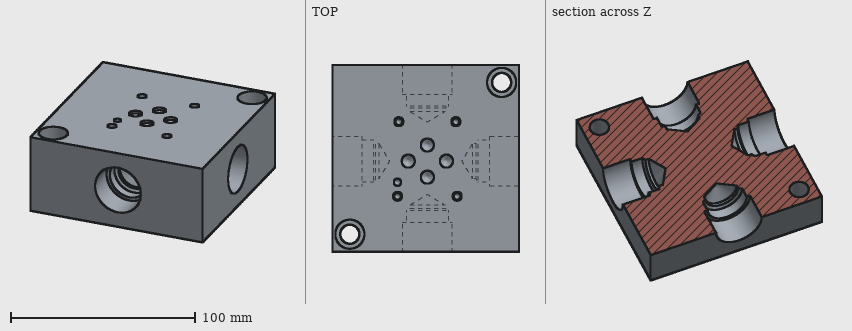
import cadquery as cq
import math

SIDE = 101.6
HEIGHT = 44.5
TOP = HEIGHT / 2

POINT_ANGLE = 118.0
POINT_SLOPE = 1 / math.tan(math.radians(POINT_ANGLE / 2))

MOUNT_OFFSET = 41.2
MOUNT_DIAMETER = 10.3
MOUNT_BORE_DIAMETER = 15.8
MOUNT_BORE_DEPTH = 11.3

PATTERN_X = -14.6
PATTERN_Y = 19.9
BACK_BOLT_PITCH = 31.0
FRONT_BOLT_PITCH = 32.4
FRONT_BOLT_DROP = 40.5
FRONT_BOLT_SHIFT = (FRONT_BOLT_PITCH - BACK_BOLT_PITCH) / 2
PIN_DROP = 32.9
VALVE_X = PATTERN_X + BACK_BOLT_PITCH / 2
VALVE_Y = -1.5

BOLT_DIAMETER = 4.9
BOLT_CORE_DIAMETER = 3.8
BOLT_THREAD_DEPTH = 12.2
BOLT_CORE_DEPTH = 15.2

PIN_DIAMETER = 4.0
PIN_DEPTH = 5.1

FLOW_DIAMETER = 7.1
FLOW_DEPTH = 1.6
FLOW_SIDE_REACH = 10.4
FLOW_END_REACH = 8.7

PORT_DIAMETER = 26.9
PORT_DEPTH = 16.1
SEAT_DIAMETER = 23.0
SEAT_DEPTH = 22.4
CORE_DIAMETER = 19.1
CORE_DEPTH = 25.4


def point_length(diameter):
    """Length of the conical tip left by a drill."""
    return diameter / 2 * POINT_SLOPE


def revolved_hole(half_profile):
    """Cutter opening at the origin and running along -Z, from (radius, z) points."""
    return cq.Workplane("XZ").polyline(half_profile).close().revolve(360, (0, 0), (0, 1))


def drilled_hole(diameter, depth):
    radius = diameter / 2
    tip = depth + point_length(diameter)
    return revolved_hole([(0, 0), (radius, 0), (radius, -depth), (0, -tip)])


def bolt_hole():
    thread = cq.Workplane("XY").circle(BOLT_DIAMETER / 2).extrude(-BOLT_THREAD_DEPTH)
    return thread.union(drilled_hole(BOLT_CORE_DIAMETER, BOLT_CORE_DEPTH))


def side_port():
    taper_end = SEAT_DEPTH + (SEAT_DIAMETER - CORE_DIAMETER) / 2 * POINT_SLOPE
    return revolved_hole([
        (0, 0),
        (PORT_DIAMETER / 2, 0),
        (PORT_DIAMETER / 2, -PORT_DEPTH),
        (SEAT_DIAMETER / 2, -PORT_DEPTH),
        (SEAT_DIAMETER / 2, -SEAT_DEPTH),
        (CORE_DIAMETER / 2, -taper_end),
        (CORE_DIAMETER / 2, -CORE_DEPTH),
        (0, -CORE_DEPTH - point_length(CORE_DIAMETER)),
    ])


result = cq.Workplane("XY").box(SIDE, SIDE, HEIGHT)

result = (
    result.faces(">Z").workplane()
    .pushPoints([(-MOUNT_OFFSET, -MOUNT_OFFSET), (MOUNT_OFFSET, MOUNT_OFFSET)])
    .cboreHole(MOUNT_DIAMETER, MOUNT_BORE_DIAMETER, MOUNT_BORE_DEPTH)
)

front_y = PATTERN_Y - FRONT_BOLT_DROP
for pitch, y in [(BACK_BOLT_PITCH, PATTERN_Y), (FRONT_BOLT_PITCH, front_y)]:
    for side in (-1, 1):
        result = result.cut(bolt_hole().translate((VALVE_X + side * pitch / 2, y, TOP)))

pin_x = PATTERN_X - FRONT_BOLT_SHIFT
pin_y = PATTERN_Y - PIN_DROP
result = result.cut(drilled_hole(PIN_DIAMETER, PIN_DEPTH).translate((pin_x, pin_y, TOP)))

flow_offsets = [(-FLOW_SIDE_REACH, 0), (FLOW_SIDE_REACH, 0), (0, -FLOW_END_REACH), (0, FLOW_END_REACH)]
for dx, dy in flow_offsets:
    flow_hole = drilled_hole(FLOW_DIAMETER, FLOW_DEPTH)
    result = result.cut(flow_hole.translate((VALVE_X + dx, VALVE_Y + dy, TOP)))

port = side_port()
for tilt in (-90, 90):
    x_port = port.rotate((0, 0, 0), (0, 1, 0), tilt)
    y_port = port.rotate((0, 0, 0), (1, 0, 0), -tilt)
    direction = math.copysign(1, tilt)
    result = result.cut(x_port.translate((direction * SIDE / 2, VALVE_Y, 0)))
    result = result.cut(y_port.translate((VALVE_X, direction * SIDE / 2, 0)))